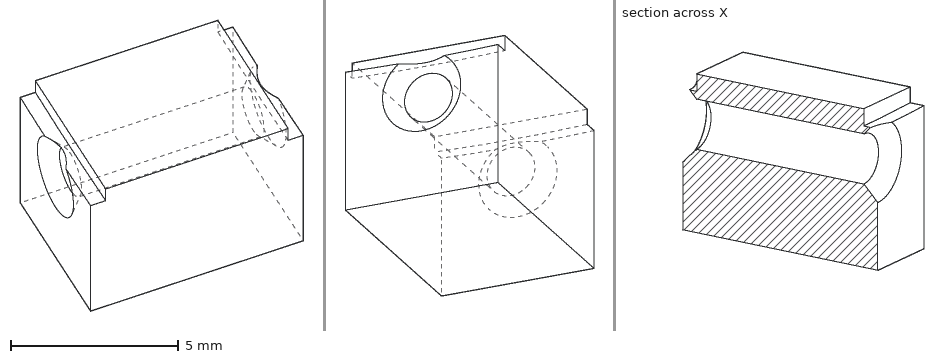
import cadquery as cq

width = 5.0
length = 7.0
height = 5.0

ledge_depth = 0.5
ledge_length = 0.5
ledge_sag = 0.05

hole_diameter = 1.57
hole_height = 3.415
countersink_depth = 0.5
countersink_radius = hole_diameter / 2 + countersink_depth


def stepped_block():
    """Block whose top is set back by a hollow-floored ledge at each end."""
    ledge_height = height - ledge_depth
    raised_length = length - 2 * ledge_length
    lower = (
        cq.Workplane("XZ")
        .moveTo(-width / 2, 0)
        .lineTo(width / 2, 0)
        .lineTo(width / 2, ledge_height)
        .threePointArc((0, ledge_height - ledge_sag), (-width / 2, ledge_height))
        .close()
        .extrude(length / 2, both=True)
    )
    raised = cq.Workplane("XY").box(width, raised_length, height, centered=(True, True, False))
    return lower.union(raised)


def countersunk_hole():
    """Hole and both countersinks as one solid of revolution about the Y direction."""
    end = length / 2
    hole_radius = hole_diameter / 2
    profile = (
        cq.Workplane("XY", origin=(0, 0, hole_height))
        .moveTo(0, -end)
        .lineTo(countersink_radius, -end)
        .lineTo(hole_radius, -end + countersink_depth)
        .lineTo(hole_radius, end - countersink_depth)
        .lineTo(countersink_radius, end)
        .lineTo(0, end)
        .close()
    )
    return profile.revolve(360, (0, 0, 0), (0, 1, 0))


result = stepped_block().cut(countersunk_hole())